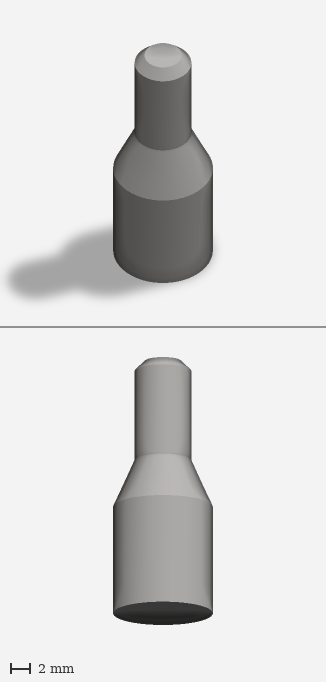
import cadquery as cq

total_height = 26.0
body_diameter = 10.0
body_height = 11.0
shoulder_height = 4.8
pin_diameter = 5.7
tip_chamfer = 1.0

body_radius = body_diameter / 2
pin_radius = pin_diameter / 2
tip_radius = pin_radius - tip_chamfer
pin_base_z = body_height + shoulder_height
chamfer_base_z = total_height - tip_chamfer

profile = (
    cq.Workplane("XZ")
    .lineTo(body_radius, 0)
    .lineTo(body_radius, body_height)
    .lineTo(pin_radius, pin_base_z)
    .lineTo(pin_radius, chamfer_base_z)
    .lineTo(tip_radius, total_height)
    .lineTo(0, total_height)
    .close()
)

result = profile.revolve(360, (0, 0, 0), (0, 1, 0))